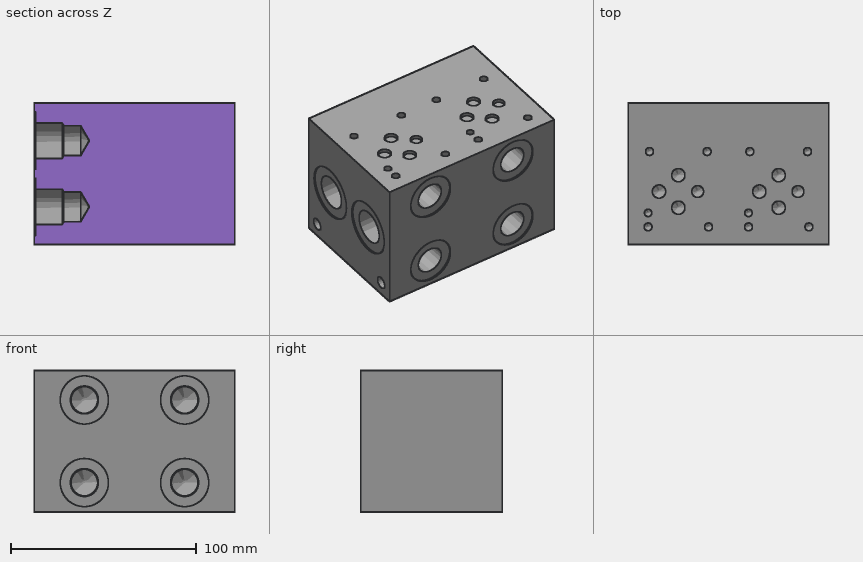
import cadquery as cq
import math

LENGTH = 107.95
WIDTH = 76.2
HEIGHT = 76.2

DRILL_POINT_ANGLE = 120.0

STATION_PITCH = LENGTH / 2
STATION_CENTERS = [STATION_PITCH / 2, STATION_PITCH * 3 / 2]

BOLT_OFFSETS = [(0, 0), (31.0, 0), (-0.75, 40.5), (31.75, 40.5)]
PIN_OFFSET = (31.75, 33.0)
PORT_A_OFFSET = (15.5, 12.7)
PORT_B_OFFSET = (15.5, 30.2)
PRESSURE_OFFSET = (25.9, 21.5)
TANK_OFFSET = (5.1, 21.5)
FIRST_BOLT_Y = 50.03

BOLT_DIAMETER = 4.22
BOLT_DEPTH = 16.0
PIN_DIAMETER = 3.96
PIN_DEPTH = 8.0
PORT_DIAMETER = 7.14
TANK_DIAMETER = 6.35
VALVE_PORT_DEPTH = 2.0

FRONT_PORT_HEIGHTS = [15.875, 60.325]
FRONT_SPOTFACE_DIAMETER = 25.93
FRONT_THREAD_DIAMETER = 15.06
FRONT_DRILL_DIAMETER = 14.3
FRONT_PORT_DEPTH = 20.0

END_PORT_YS = [20.32, 55.88]
END_PORT_HEIGHT = HEIGHT / 2
END_SPOTFACE_DIAMETER = 30.68
END_THREAD_DIAMETER = 18.92
END_DRILL_DIAMETER = 15.88
END_PORT_DEPTH = 25.0

SPOTFACE_DEPTH = 0.79
THREAD_DEPTH = 15.0

MOUNT_INSET = 7.9375
MOUNT_DIAMETER = 6.76
MOUNT_DEPTH = 15.0

INTO_TOP = cq.Vector(0, 0, -1)
INTO_FRONT = cq.Vector(0, 1, 0)
INTO_END = cq.Vector(1, 0, 0)


def drilled_hole(mouth, direction, diameter, depth):
    """Cutter for a blind hole; depth is the full-diameter length before the drill point."""
    radius = diameter / 2
    point_length = radius / math.tan(math.radians(DRILL_POINT_ANGLE / 2))
    barrel = cq.Solid.makeCylinder(radius, depth, mouth, direction)
    point = cq.Solid.makeCone(radius, 0, point_length, mouth + direction * depth, direction)
    return barrel.fuse(point)


def threaded_port(mouth, direction, spotface_diameter, thread_diameter, drill_diameter, depth):
    """Cutter for a port: shallow spotface, threaded bore with a conical end, narrower drilled hole."""
    spotface = cq.Solid.makeCylinder(spotface_diameter / 2, SPOTFACE_DEPTH, mouth, direction)
    thread = drilled_hole(mouth, direction, thread_diameter, THREAD_DEPTH)
    return spotface.fuse(thread, drilled_hole(mouth, direction, drill_diameter, depth))


def valve_station_cutters(center_x):
    """Cutters for one valve pattern: bolts, locating pin, working ports, pressure and tank."""
    first_bolt_x = center_x + PORT_A_OFFSET[0]

    def top_hole(offset, diameter, depth):
        across, along = offset
        mouth = cq.Vector(first_bolt_x - across, FIRST_BOLT_Y - along, HEIGHT)
        return drilled_hole(mouth, INTO_TOP, diameter, depth)

    cutters = [top_hole(offset, BOLT_DIAMETER, BOLT_DEPTH) for offset in BOLT_OFFSETS]
    cutters.append(top_hole(PIN_OFFSET, PIN_DIAMETER, PIN_DEPTH))
    for offset in (PORT_A_OFFSET, PORT_B_OFFSET, PRESSURE_OFFSET):
        cutters.append(top_hole(offset, PORT_DIAMETER, VALVE_PORT_DEPTH))
    cutters.append(top_hole(TANK_OFFSET, TANK_DIAMETER, VALVE_PORT_DEPTH))
    return cutters


def front_port_cutters(center_x):
    """Cutters for the column of front ports in line with one valve station."""
    return [
        threaded_port(
            cq.Vector(center_x, 0, height),
            INTO_FRONT,
            FRONT_SPOTFACE_DIAMETER,
            FRONT_THREAD_DIAMETER,
            FRONT_DRILL_DIAMETER,
            FRONT_PORT_DEPTH,
        )
        for height in FRONT_PORT_HEIGHTS
    ]


def end_face_cutters():
    """Cutters for the two end ports and the two mounting holes beneath them."""
    cutters = []
    for y in END_PORT_YS:
        port = threaded_port(
            cq.Vector(0, y, END_PORT_HEIGHT),
            INTO_END,
            END_SPOTFACE_DIAMETER,
            END_THREAD_DIAMETER,
            END_DRILL_DIAMETER,
            END_PORT_DEPTH,
        )
        cutters.append(port)
    for y in (MOUNT_INSET, WIDTH - MOUNT_INSET):
        mouth = cq.Vector(0, y, MOUNT_INSET)
        cutters.append(drilled_hole(mouth, INTO_END, MOUNT_DIAMETER, MOUNT_DEPTH))
    return cutters


cutters = end_face_cutters()
for station_x in STATION_CENTERS:
    cutters += valve_station_cutters(station_x)
    cutters += front_port_cutters(station_x)

block = cq.Solid.makeBox(LENGTH, WIDTH, HEIGHT)
result = cq.Workplane(obj=block.cut(*cutters))